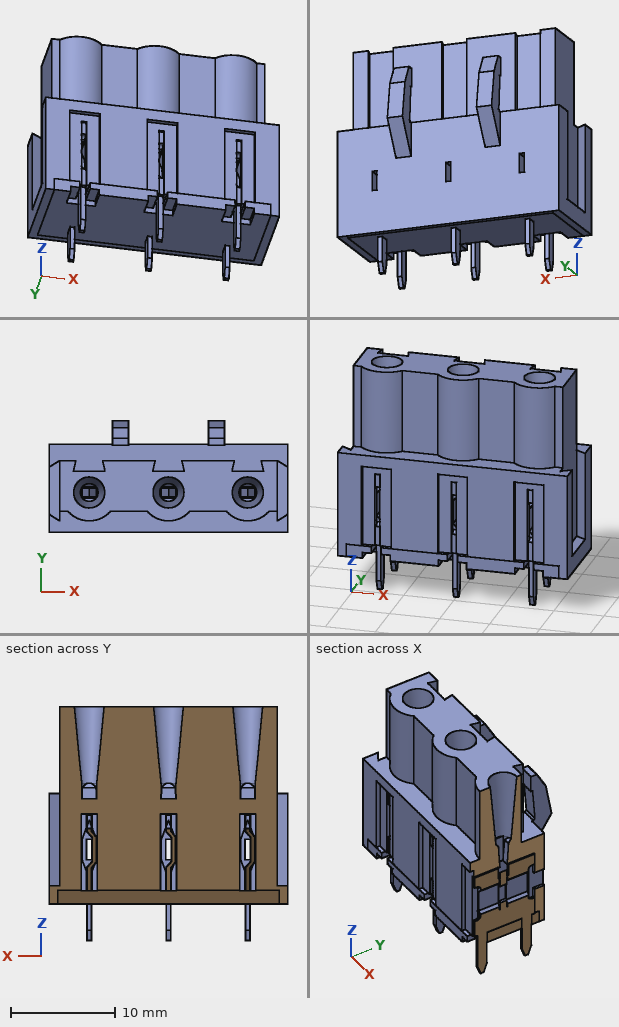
import cadquery as cq
import math

PITCH = 7.62
POLE_X = [-PITCH, 0, PITCH]

SHELL_LENGTH = 22.95
SHELL_DEPTH = 8.5
SHELL_HEIGHT = 10.65

PLUG_HALF_LENGTH = 10.47
PLUG_FRONT_Y = 2.02
PLUG_BACK_Y = 6.89
PLUG_TOP_Z = 18.99
SOCKET_Y = 3.83
BULGE_RADIUS = 2.73
KEYWAY_FLOOR_Y = 5.9
KEYWAY_FLOOR_HALF_WIDTH = 1.52
KEYWAY_MOUTH_HALF_WIDTH = 1.29

END_SLOT_FLOOR_Z = 1.77
END_SLOT_MOUTH_Y = (1.75, 6.27)
END_SLOT_INNER_Y = (1.1, PLUG_BACK_Y)

FUNNEL_TOP_RADIUS = 1.5
FUNNEL_END_RADIUS = 0.85
FUNNEL_DEPTH = 7.35
WEDGE_DEPTH = 0.45
WEDGE_HALF_DEPTH = 0.55
PASSAGE_WIDTH = 1.47
PASSAGE_HALF_DEPTH = 0.4

LATCH_X = 4.61
LATCH_WIDTH = 1.55
LATCH_ROOT_Z = 7.25
LATCH_TIP_Y = 10.75
LATCH_SHOULDER_Y = 10.08
LATCH_SHOULDER_Z = 14.33
LATCH_TOP_Z = 16.16
LATCH_TOP_Y = (8.38, 9.05)
LATCH_UNDERCUT_Y = 8.56
LATCH_ARM_INNER_Y = 8.85
LATCH_CORNER_Y = 8.65
LATCH_CORNER_RISE = 0.18

BASE_LENGTH = 21.25
BASE_HEIGHT = 1.29
LEG_NOTCH_WIDTH = 1.0
STANDOFF_NOTCH_WIDTH = 2.8
STANDOFF_NOTCH_HEIGHT = 0.6

BLADE_THICKNESS = 0.45
BLADE_FRONT_Y = 0.55
BLADE_TOP_Z = 8.59
LEG_LENGTH = 3.51
LEG_WIDTH = 1.13
LEG_FRONT_Y = 0.85
LEG_SPACING = 5.07
LEG_TAPER_LENGTH = 1.0
LEG_TIP_WIDTH = 0.37
CONTACT_MID_Y = LEG_FRONT_Y + (LEG_WIDTH + LEG_SPACING) / 2
BLADE_BACK_Y = 2 * CONTACT_MID_Y - BLADE_FRONT_Y
BASE_DEPTH = 2 * CONTACT_MID_Y

SPRING_BOTTOM_Z = 3.47
SPRING_TOP_Z = 7.03
SPRING_OUTER_X = 0.7
SPRING_INNER_X = 0.28
SPRING_BEND = 0.55
SPRING_ROOT = 0.07
SPRING_GAP = 0.07
EYE_WINDOW_Z = (4.27, 6.22)
EYE_RIDGE_HEIGHT = 1.84

BEAM_RISE = 0.25
BEAM_ROUNDING_DIAMETER = 0.9
BEAM_LEDGE_WIDTH = 0.23
BEAM_ROUNDING_RADIUS = BEAM_ROUNDING_DIAMETER / 2
BEAM_ROUNDING_ANGLE = math.acos(1 - BEAM_RISE / BEAM_ROUNDING_RADIUS)
ROUNDING_START_Y = BLADE_FRONT_Y + BEAM_LEDGE_WIDTH
SPRING_FRONT_Y = ROUNDING_START_Y + BEAM_ROUNDING_RADIUS * math.sin(BEAM_ROUNDING_ANGLE)
SPRING_BACK_Y = 2 * CONTACT_MID_Y - SPRING_FRONT_Y

RECESS_WIDTH = 2.98
RECESS_DEPTH = 0.44
RECESS_TOP_Z = 9.48
CONTACT_SLOT_WIDTH = 0.5
CONTACT_SLOT_TOP_Z = 8.65
CHAMBER_WIDTH = 1.52
CHAMBER_FRONT_Y = 1.03


def block(x_range, y_range, z_range):
    """Axis-aligned box given by its limits on each axis."""
    size = [high - low for low, high in (x_range, y_range, z_range)]
    corner = (x_range[0], y_range[0], z_range[0])
    return cq.Workplane("XY").box(*size, centered=False).translate(corner)


def centred_block(width, y_range, z_range):
    """Box centred on X = 0."""
    return block((-width / 2, width / 2), y_range, z_range)


def yz_plate(points, width):
    """YZ outline extruded symmetrically about X = 0."""
    return cq.Workplane("YZ").polyline(points).close().extrude(width / 2, both=True)


def at_poles(shape):
    """One copy of the shape at each pole, gathered for cutting or joining."""
    copies = cq.Workplane("XY")
    for x in POLE_X:
        copies = copies.add(shape.translate((x, 0, 0)))
    return copies.combine()



def plug_block():
    """Upper block with a round bulge in front of, and a dovetail keyway behind, each socket."""
    height = (SHELL_HEIGHT, PLUG_TOP_Z)
    plug = centred_block(2 * PLUG_HALF_LENGTH, (PLUG_FRONT_Y, PLUG_BACK_Y), height)
    rise = PLUG_TOP_Z - SHELL_HEIGHT
    bulge = cq.Workplane("XY", origin=(0, SOCKET_Y, SHELL_HEIGHT)).circle(BULGE_RADIUS).extrude(rise)
    bulge = bulge.intersect(centred_block(2 * BULGE_RADIUS, (0, SOCKET_Y), height))
    keyway = (
        cq.Workplane("XY", origin=(0, 0, SHELL_HEIGHT))
        .polyline([
            (-KEYWAY_FLOOR_HALF_WIDTH, KEYWAY_FLOOR_Y),
            (KEYWAY_FLOOR_HALF_WIDTH, KEYWAY_FLOOR_Y),
            (KEYWAY_MOUTH_HALF_WIDTH, PLUG_BACK_Y),
            (-KEYWAY_MOUTH_HALF_WIDTH, PLUG_BACK_Y),
        ])
        .close()
        .extrude(rise)
    )
    return plug.union(at_poles(bulge)).cut(at_poles(keyway))


def end_slot():
    """Dovetail slot in the -X end of the shell, open at the top."""
    end_x = -SHELL_LENGTH / 2
    return (
        cq.Workplane("XY", origin=(0, 0, END_SLOT_FLOOR_Z))
        .polyline([
            (end_x, END_SLOT_MOUTH_Y[0]),
            (-PLUG_HALF_LENGTH, END_SLOT_INNER_Y[0]),
            (-PLUG_HALF_LENGTH, END_SLOT_INNER_Y[1]),
            (end_x, END_SLOT_MOUTH_Y[1]),
        ])
        .close()
        .extrude(SHELL_HEIGHT - END_SLOT_FLOOR_Z)
    )


def latch():
    """Hook-shaped latch arm rooted on the back face, with a nose at its top."""
    profile = [
        (SHELL_DEPTH, LATCH_ROOT_Z),
        (LATCH_TIP_Y, SHELL_HEIGHT),
        (LATCH_SHOULDER_Y, LATCH_SHOULDER_Z),
        (LATCH_TOP_Y[1], LATCH_TOP_Z),
        (LATCH_TOP_Y[0], LATCH_TOP_Z),
        (LATCH_TOP_Y[0], LATCH_SHOULDER_Z),
        (LATCH_UNDERCUT_Y, LATCH_SHOULDER_Z),
        (LATCH_ARM_INNER_Y, SHELL_HEIGHT + LATCH_CORNER_RISE),
        (LATCH_CORNER_Y, SHELL_HEIGHT),
        (SHELL_DEPTH, SHELL_HEIGHT),
    ]
    return yz_plate(profile, LATCH_WIDTH)


def socket():
    """Cavity of one socket, from the plug top down to the contact chamber."""
    funnel_end_z = PLUG_TOP_Z - FUNNEL_DEPTH
    wedge_end_z = funnel_end_z - WEDGE_DEPTH
    funnel = cq.Workplane(cq.Solid.makeCone(
        FUNNEL_END_RADIUS, FUNNEL_TOP_RADIUS, FUNNEL_DEPTH, cq.Vector(0, SOCKET_Y, funnel_end_z)
    ))
    passage = yz_plate(
        [
            (SOCKET_Y - FUNNEL_END_RADIUS, funnel_end_z),
            (SOCKET_Y - WEDGE_HALF_DEPTH, wedge_end_z),
            (SOCKET_Y - PASSAGE_HALF_DEPTH, CONTACT_SLOT_TOP_Z),
            (SOCKET_Y + PASSAGE_HALF_DEPTH, CONTACT_SLOT_TOP_Z),
            (SOCKET_Y + WEDGE_HALF_DEPTH, wedge_end_z),
            (SOCKET_Y + FUNNEL_END_RADIUS, funnel_end_z),
        ],
        PASSAGE_WIDTH,
    )
    bore = (
        cq.Workplane("XY", origin=(0, SOCKET_Y, CONTACT_SLOT_TOP_Z))
        .circle(FUNNEL_END_RADIUS)
        .extrude(funnel_end_z - CONTACT_SLOT_TOP_Z)
    )
    return funnel.union(passage.intersect(bore))


def contact_opening():
    """Front recess, blade slot, spring chamber and rear window of one pole."""
    slot_z = (BASE_HEIGHT, CONTACT_SLOT_TOP_Z)
    chamber_back_y = 2 * CONTACT_MID_Y - CHAMBER_FRONT_Y
    recess = centred_block(RECESS_WIDTH, (0, RECESS_DEPTH), (BASE_HEIGHT, RECESS_TOP_Z))
    slot = centred_block(CONTACT_SLOT_WIDTH, (RECESS_DEPTH, BLADE_BACK_Y), slot_z)
    chamber = centred_block(CHAMBER_WIDTH, (CHAMBER_FRONT_Y, chamber_back_y), slot_z)
    window = centred_block(CONTACT_SLOT_WIDTH, (BLADE_BACK_Y, SHELL_DEPTH), EYE_WINDOW_Z)
    return recess.union(slot).union(chamber).union(window)


def base_outline():
    """Full block that the base plate fills, flush with the front face and the underside."""
    return centred_block(BASE_LENGTH, (0, BASE_DEPTH), (0, BASE_HEIGHT))


def make_housing():
    body = centred_block(SHELL_LENGTH, (0, SHELL_DEPTH), (0, SHELL_HEIGHT)).union(plug_block())
    for x in (-LATCH_X, LATCH_X):
        body = body.union(latch().translate((x, 0, 0)))
    slot = end_slot()
    body = body.cut(slot).cut(slot.mirror("YZ"))
    body = body.cut(base_outline())
    return body.cut(at_poles(socket().union(contact_opening())))



def make_base():
    """Plate with an open notch at each front leg and a close hole at each rear leg."""
    notch_y = (0, LEG_FRONT_Y + LEG_WIDTH)
    rear_leg_y = LEG_FRONT_Y + LEG_SPACING
    leg_notch = centred_block(LEG_NOTCH_WIDTH, notch_y, (0, BASE_HEIGHT))
    standoff_notch = centred_block(STANDOFF_NOTCH_WIDTH, notch_y, (0, STANDOFF_NOTCH_HEIGHT))
    rear_hole = centred_block(BLADE_THICKNESS, (rear_leg_y, rear_leg_y + LEG_WIDTH), (0, BASE_HEIGHT))
    return base_outline().cut(at_poles(leg_notch.union(standoff_notch).union(rear_hole)))



def solder_leg():
    """Front solder leg with a tapered tip."""
    mid_y = LEG_FRONT_Y + LEG_WIDTH / 2
    taper_z = LEG_TAPER_LENGTH - LEG_LENGTH
    profile = [
        (LEG_FRONT_Y, BASE_HEIGHT),
        (LEG_FRONT_Y, taper_z),
        (mid_y - LEG_TIP_WIDTH / 2, -LEG_LENGTH),
        (mid_y + LEG_TIP_WIDTH / 2, -LEG_LENGTH),
        (LEG_FRONT_Y + LEG_WIDTH, taper_z),
        (LEG_FRONT_Y + LEG_WIDTH, BASE_HEIGHT),
    ]
    return yz_plate(profile, BLADE_THICKNESS)


def beam(far_z, ledge_z, spring_z):
    """Beam across the contact; hollow arcs rise from its ledges at ledge_z to the springs at spring_z."""
    toward_spring = math.copysign(1, spring_z - ledge_z)
    half_angle = BEAM_ROUNDING_ANGLE / 2
    arc_mid_y = ROUNDING_START_Y + BEAM_ROUNDING_RADIUS * math.sin(half_angle)
    back_arc_mid_y = 2 * CONTACT_MID_Y - arc_mid_y
    back_arc_end_y = 2 * CONTACT_MID_Y - ROUNDING_START_Y
    arc_mid_z = ledge_z + toward_spring * BEAM_ROUNDING_RADIUS * (1 - math.cos(half_angle))
    return (
        cq.Workplane("YZ")
        .moveTo(BLADE_FRONT_Y, far_z)
        .lineTo(BLADE_FRONT_Y, ledge_z)
        .lineTo(ROUNDING_START_Y, ledge_z)
        .threePointArc((arc_mid_y, arc_mid_z), (SPRING_FRONT_Y, spring_z))
        .lineTo(SPRING_BACK_Y, spring_z)
        .threePointArc((back_arc_mid_y, arc_mid_z), (back_arc_end_y, ledge_z))
        .lineTo(BLADE_BACK_Y, ledge_z)
        .lineTo(BLADE_BACK_Y, far_z)
        .close()
        .extrude(BLADE_THICKNESS / 2, both=True)
    )


def xz_plate(points, y_range):
    """XZ outline extruded over a range of Y."""
    plate = cq.Workplane("XZ").polyline(points).close().extrude(y_range[0] - y_range[1])
    return plate.translate((0, y_range[0], 0))


def spring(y_range):
    """Strip bowed toward -X between the two beams."""
    edge = BLADE_THICKNESS / 2
    profile = [
        (-edge, SPRING_BOTTOM_Z),
        (-SPRING_OUTER_X, SPRING_BOTTOM_Z + SPRING_BEND),
        (-SPRING_OUTER_X, SPRING_TOP_Z - SPRING_BEND),
        (-edge, SPRING_TOP_Z),
        (edge, SPRING_TOP_Z),
        (edge, SPRING_TOP_Z - SPRING_ROOT),
        (-SPRING_INNER_X, SPRING_TOP_Z - SPRING_ROOT - SPRING_BEND),
        (-SPRING_INNER_X, SPRING_BOTTOM_Z + SPRING_ROOT + SPRING_BEND),
        (edge, SPRING_BOTTOM_Z + SPRING_ROOT),
        (edge, SPRING_BOTTOM_Z),
    ]
    return xz_plate(profile, y_range)


def pin_eye(y_range):
    """Closed loop below the socket, with a ridge at its top and bottom."""
    bottom_z, top_z = EYE_WINDOW_Z
    profile = [
        (-SPRING_OUTER_X, bottom_z),
        (-SPRING_OUTER_X, top_z),
        (0, top_z + EYE_RIDGE_HEIGHT),
        (SPRING_OUTER_X, top_z),
        (SPRING_OUTER_X, bottom_z),
        (0, bottom_z - EYE_RIDGE_HEIGHT),
    ]
    window = centred_block(2 * SPRING_INNER_X, y_range, EYE_WINDOW_Z)
    return xz_plate(profile, y_range).cut(window)


def make_contact():
    """Blade with two legs, a spring at the front and the rear, and an eye under the socket."""
    eye_y = (SOCKET_Y - PASSAGE_HALF_DEPTH, SOCKET_Y + PASSAGE_HALF_DEPTH)
    notch_y = (SOCKET_Y - WEDGE_HALF_DEPTH, SOCKET_Y + WEDGE_HALF_DEPTH)
    lower_ledge_z = SPRING_BOTTOM_Z - BEAM_RISE
    upper_ledge_z = SPRING_TOP_Z + BEAM_RISE
    pin_notch = centred_block(BLADE_THICKNESS, notch_y, (upper_ledge_z, BLADE_TOP_Z))
    leg = solder_leg()
    return (
        beam(BASE_HEIGHT, lower_ledge_z, SPRING_BOTTOM_Z)
        .union(beam(BLADE_TOP_Z, upper_ledge_z, SPRING_TOP_Z).cut(pin_notch))
        .union(pin_eye(eye_y))
        .union(spring((SPRING_FRONT_Y, eye_y[0] - SPRING_GAP)))
        .union(spring((eye_y[1] + SPRING_GAP, SPRING_BACK_Y)))
        .union(leg)
        .union(leg.translate((0, LEG_SPACING, 0)))
    )



housing = make_housing().solids()
base = make_base().solids()
contact = make_contact().solids()
contacts = [contact.translate((x, 0, 0)).val() for x in POLE_X]

result = cq.Compound.makeCompound([housing.val(), base.val(), *contacts])